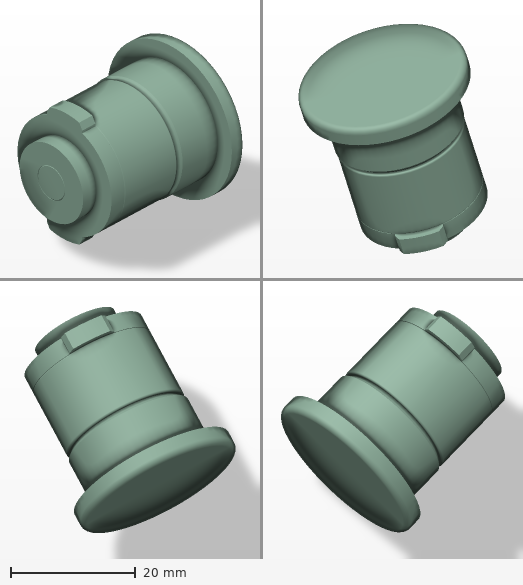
import cadquery as cq
import math

TOTAL_LENGTH = 30.0
FLANGE_LENGTH = 3.0
CAP_LENGTH = 12.0
PLATE_START = 24.0
PLATE_LENGTH = 3.0

FLANGE_RADIUS = 28.0 / 2
FLANGE_FILLET = 1.0
NECK_RADIUS = 10.8
NECK_CHAMFER = 1.0

SLEEVE_RADIUS = 10.6
SLEEVE_REAR_FILLET = 0.3
SLEEVE_FRONT_FILLET = 0.2

LUG_TIP_RADIUS = 12.0
LUG_HALF_WIDTH = 4.0
LUG_TIP_HALF_WIDTH = 3.3
LUG_SHOULDER_HEIGHT = 10.32
BOSS_RADIUS = 7.15

PIN_RADIUS = 3.12
PIN_CHAMFER = 0.15


def cylinder(radius, start, length):
    """Cylinder on the Y axis, from a given distance behind the rear face towards -Y."""
    rear_y = TOTAL_LENGTH / 2 - start
    return cq.Workplane("XZ", origin=(0, rear_y, 0)).circle(radius).extrude(length)


def make_cap():
    flange = cylinder(FLANGE_RADIUS, 0, FLANGE_LENGTH).faces(">Y").edges().fillet(FLANGE_FILLET)
    neck = cylinder(NECK_RADIUS, FLANGE_LENGTH, CAP_LENGTH - FLANGE_LENGTH)
    neck = neck.faces("<Y").edges().chamfer(NECK_CHAMFER)
    return flange.union(neck)


def make_sleeve():
    sleeve = cylinder(SLEEVE_RADIUS, CAP_LENGTH, PLATE_START - CAP_LENGTH)
    sleeve = sleeve.faces(">Y").edges().fillet(SLEEVE_REAR_FILLET)
    return sleeve.faces("<Y").edges().fillet(SLEEVE_FRONT_FILLET)


def make_lugs():
    """Bar across the plate that forms both lugs, with sloped shoulders and arc tips."""
    tip_corner_height = math.sqrt(LUG_TIP_RADIUS**2 - LUG_TIP_HALF_WIDTH**2)
    return (
        cq.Workplane("XZ", origin=(0, TOTAL_LENGTH / 2 - PLATE_START, 0))
        .moveTo(LUG_HALF_WIDTH, -LUG_SHOULDER_HEIGHT)
        .lineTo(LUG_HALF_WIDTH, LUG_SHOULDER_HEIGHT)
        .lineTo(LUG_TIP_HALF_WIDTH, tip_corner_height)
        .threePointArc((0, LUG_TIP_RADIUS), (-LUG_TIP_HALF_WIDTH, tip_corner_height))
        .lineTo(-LUG_HALF_WIDTH, LUG_SHOULDER_HEIGHT)
        .lineTo(-LUG_HALF_WIDTH, -LUG_SHOULDER_HEIGHT)
        .lineTo(-LUG_TIP_HALF_WIDTH, -tip_corner_height)
        .threePointArc((0, -LUG_TIP_RADIUS), (LUG_TIP_HALF_WIDTH, -tip_corner_height))
        .close()
        .extrude(PLATE_LENGTH)
    )


def make_locking_plate():
    disc = cylinder(SLEEVE_RADIUS, PLATE_START, PLATE_LENGTH)
    boss = cylinder(BOSS_RADIUS, PLATE_START, TOTAL_LENGTH - PLATE_START)
    pin_hole = cylinder(PIN_RADIUS, PLATE_START, TOTAL_LENGTH - PLATE_START)
    return disc.union(make_lugs()).union(boss).cut(pin_hole)


def make_pin():
    pin = cylinder(PIN_RADIUS, PLATE_START, TOTAL_LENGTH - PLATE_START)
    return pin.faces("<Y").edges().chamfer(PIN_CHAMFER)


cap = make_cap()
sleeve = make_sleeve()
locking_plate = make_locking_plate()
pin = make_pin()

result = cq.Compound.makeCompound([cap.val(), sleeve.val(), locking_plate.val(), pin.val()])